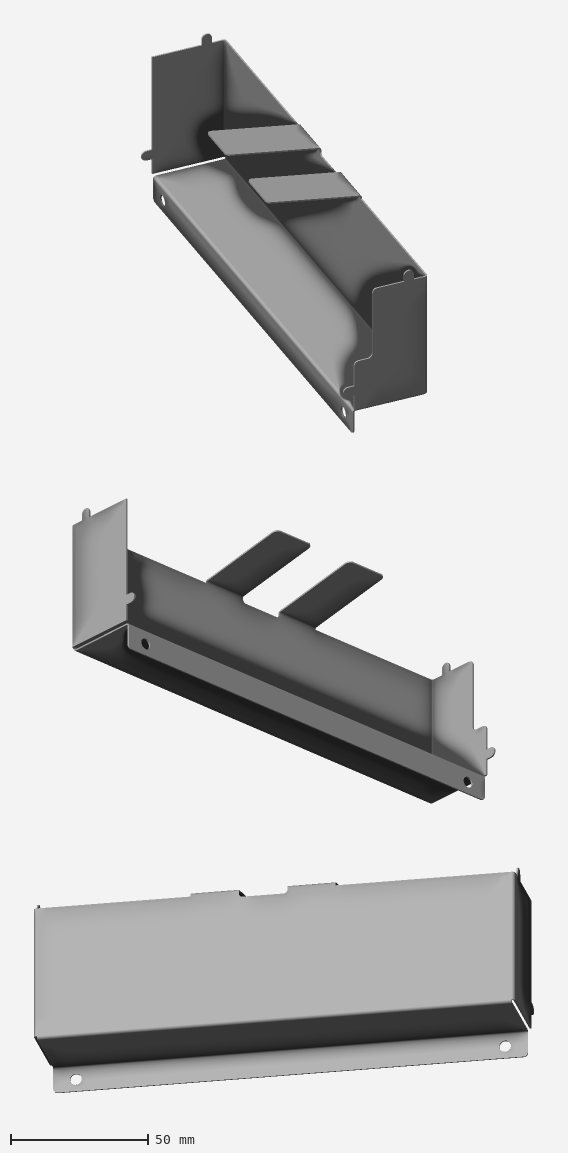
import cadquery as cq
import math

sheet = 0.63
inner_bend = 0.5
outer_bend = inner_bend + sheet

length = 179.3
depth = 29.5
wall_height = 51.3
flange_drop = 9.9
corner_radius = 2.0
flange_corner_radius = 1.6
floor_clearance = 1.3

half_length = length / 2
floor_half_length = half_length - floor_clearance

hole_diameter = 4.3
hole_offset = 80.0
hole_above_edge = 4.7

tab_width = 18.0
tab_pitch = 36.0
tab_pair_center = 4.1
tab_length = 37.5
tab_slope = math.radians(10)
tab_bend_height = 51.6
notch_depth = 1.6
notch_radius = 1.5

lug_width = 4.0
lug_length = 4.3
top_lug_from_back = 7.7
front_lug_height = 9.5

step_depth = 22.2
step_height = 21.9


def ring_point(center, radius, angle):
    """Point on a circle, with the angle measured from the first axis."""
    return (center[0] + radius * math.cos(angle), center[1] + radius * math.sin(angle))


def make_back_and_ends():
    """U-shaped strip in plan: the back wall, both corner bends and both end walls."""
    outer = (
        cq.Workplane("XY")
        .box(length, depth, wall_height - outer_bend, centered=(True, False, False))
        .translate((0, -depth, outer_bend))
        .edges("|Z and >Y")
        .fillet(outer_bend)
    )
    cavity = (
        cq.Workplane("XY")
        .box(length - 2 * sheet, depth, wall_height, centered=(True, False, False))
        .translate((0, -depth - sheet, 0))
        .edges("|Z and >Y")
        .fillet(inner_bend)
    )
    return outer.cut(cavity)


def make_floor_and_flange():
    """Bent strip: foot of the back wall, floor, and flange hanging from the front edge."""
    rear_axis = (-outer_bend, outer_bend)
    front_axis = (-depth + outer_bend, sheet - outer_bend)
    rear_diagonal = math.radians(-45)
    front_diagonal = math.radians(135)
    strip = (
        cq.Workplane("YZ", origin=(-floor_half_length, 0, 0))
        .moveTo(0, outer_bend)
        .threePointArc(ring_point(rear_axis, outer_bend, rear_diagonal), (rear_axis[0], 0))
        .lineTo(front_axis[0], 0)
        .threePointArc(
            ring_point(front_axis, inner_bend, front_diagonal), (-depth + sheet, front_axis[1])
        )
        .lineTo(-depth + sheet, -flange_drop)
        .lineTo(-depth, -flange_drop)
        .lineTo(-depth, front_axis[1])
        .threePointArc(ring_point(front_axis, outer_bend, front_diagonal), (front_axis[0], sheet))
        .lineTo(rear_axis[0], sheet)
        .threePointArc(ring_point(rear_axis, inner_bend, rear_diagonal), (-sheet, outer_bend))
        .close()
        .extrude(2 * floor_half_length)
    )
    strip = strip.edges("|Y and <Z").fillet(flange_corner_radius)
    holes = (
        cq.Workplane("XZ", origin=(0, -depth + 2 * sheet, 0))
        .pushPoints([(side * hole_offset, hole_above_edge - flange_drop) for side in (-1, 1)])
        .circle(hole_diameter / 2)
        .extrude(3 * sheet)
    )
    return strip.cut(holes)


def make_tab(center_x):
    """Tab that rises from the back wall, bends forward and slopes up to its free end."""
    axis = (-outer_bend, tab_bend_height)
    bend_end = math.pi / 2 - tab_slope
    run = -tab_length * math.cos(tab_slope)
    rise = tab_length * math.sin(tab_slope)
    outer_end = ring_point(axis, outer_bend, bend_end)
    inner_end = ring_point(axis, inner_bend, bend_end)
    tab = (
        cq.Workplane("YZ", origin=(center_x - tab_width / 2, 0, 0))
        .moveTo(0, wall_height - notch_depth)
        .lineTo(0, tab_bend_height)
        .threePointArc(ring_point(axis, outer_bend, bend_end / 2), outer_end)
        .lineTo(outer_end[0] + run, outer_end[1] + rise)
        .lineTo(inner_end[0] + run, inner_end[1] + rise)
        .lineTo(*inner_end)
        .threePointArc(ring_point(axis, inner_bend, bend_end / 2), (-sheet, tab_bend_height))
        .lineTo(-sheet, wall_height - notch_depth)
        .close()
        .extrude(tab_width)
    )
    return tab.faces("<Y").edges("not |X").fillet(corner_radius)


def make_notch():
    """Relief in the top edge of the back wall between the two tabs."""
    return (
        cq.Workplane("XY")
        .box(tab_pitch - tab_width, 2 * outer_bend, 2 * notch_depth)
        .edges("|Y and <Z")
        .fillet(notch_radius)
        .translate((tab_pair_center, 0, wall_height))
    )


def make_lugs(inner_face_x):
    """Upward and forward lugs of one end wall; each overlaps the wall by one lug width."""
    slot_length = lug_length + lug_width
    slot_center = lug_length - slot_length / 2
    plane = cq.Workplane("YZ", origin=(inner_face_x, 0, 0))
    top_lug = (
        plane.center(-top_lug_from_back, wall_height + slot_center)
        .slot2D(slot_length, lug_width, 90)
        .extrude(sheet)
    )
    front_lug = (
        plane.center(-depth - slot_center, front_lug_height)
        .slot2D(slot_length, lug_width)
        .extrude(sheet)
    )
    return top_lug.union(front_lug)


def step_right_wall(body):
    """Cut back the upper front of the +X end wall and round the three corners of the step."""
    cutter = (
        cq.Workplane("XY")
        .box(2 * outer_bend, depth - step_depth, wall_height, centered=(True, False, False))
        .translate((half_length, -depth, step_height))
    )
    body = body.cut(cutter)
    step_corners = ((-step_depth, wall_height), (-step_depth, step_height), (-depth, step_height))
    for y, z in step_corners:
        corner = cq.selectors.BoxSelector(
            (half_length - outer_bend, y - sheet, z - sheet),
            (half_length + outer_bend, y + sheet, z + sheet),
        )
        body = body.edges("|X").edges(corner).fillet(corner_radius)
    return body


shell = step_right_wall(make_back_and_ends())
result = shell.cut(make_notch()).union(make_floor_and_flange())
for side in (-1, 1):
    result = result.union(make_tab(tab_pair_center + side * tab_pitch / 2))
for inner_face_x in (-half_length, half_length - sheet):
    result = result.union(make_lugs(inner_face_x))